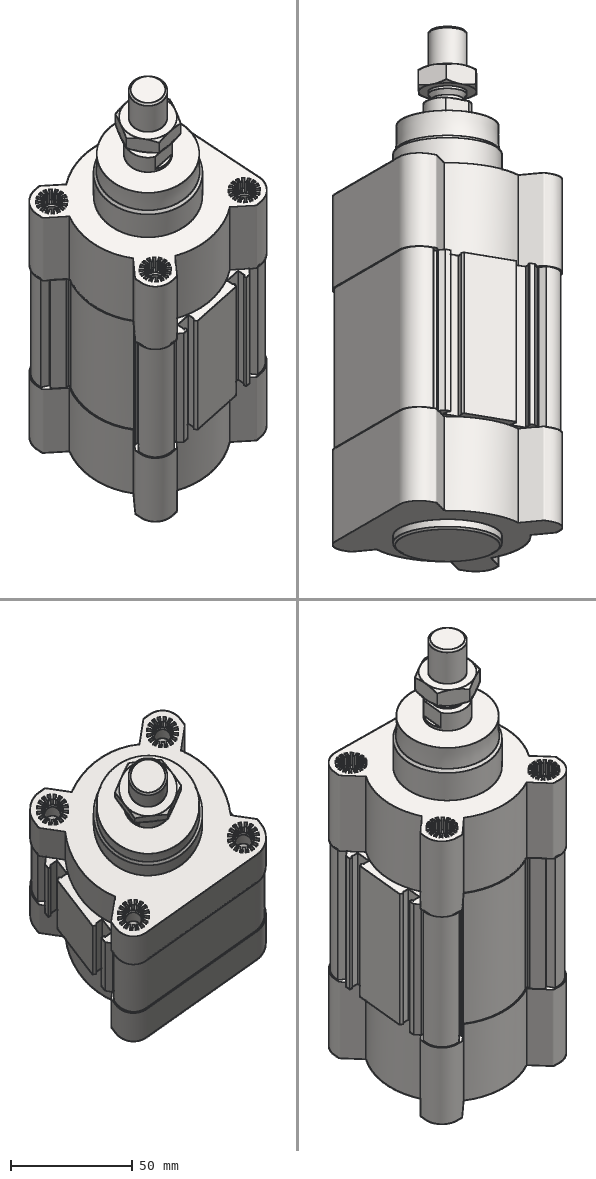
import cadquery as cq
import math

total_height = 223
rear_cap_z = 4.0
barrel_z = 44.8
front_cap_z = 114.7
front_boss_z = 155.0
collar_chamfer_z = 169.8
collar_chamfer_height = 1.3
front_boss_top_z = 182.0
rod_shoulder_z = 191.5
nut_z = 197.0
nut_height = 8.5

half_width = 37.5
body_radius = 34.4
lobe_tip = 25.2
tip_fillet = 1.1
lobe_radius = 9.1
barrel_setback = 0.5

flank_step = 18.5
arc_edge = 17.2
groove_near = 23.2
groove_far = 24.5
groove_edge = 26.8
groove_floor = 34.0
slot_floor = 32.5
pad_half_width = 13.0
rail_edge = 21.0
slot_lip = 0.7
slot_lip_depth = 1.3

boss_diameter = 45.0
collar_diameter = 42.8
collar_top_diameter = 42.5
collar_waist = 0.33
rear_boss_chamfer = 1.0

socket_offset = 28.22
tooth_count = 16
socket_diameter = 13.2
tooth_tip_diameter = 8.7
socket_depth = 6.7
bore_rim_diameter = 8.0
bore_diameter = 6.7
bore_rim_depth = 0.7
bore_depth = 13.4
drill_point_angle = 118

rod_diameter = 20
flats_width = 17.0
flats_z = 183.4
thread_diameter = 16.0
thread_tip_diameter = 14.3
undercut_diameter = 13.2
flare_diameter = 14.3
flare_z = 192.0
tip_chamfer_height = 1.0
thread_end_z = 195.9
undercut_z = 193.7

nut_across_flats = 23.9
nut_chamfer_angle = 30

cut_clearance = 2.2
corner_signs = [(sx, sy) for sx in (-1, 1) for sy in (-1, 1)]


def prism(points, bottom, top):
    return cq.Workplane("XY").workplane(offset=bottom).polyline(points).close().extrude(top - bottom)


def cylinder(diameter, bottom, top, x=0, y=0):
    return cq.Workplane("XY").workplane(offset=bottom).center(x, y).circle(diameter / 2).extrude(top - bottom)


def corner_lobe(sx, sy, reach, bottom, top):
    """Corner post with a round outer corner and two 45 degree flanks."""
    inner = (reach - lobe_tip) / 2
    outline = [(inner, -inner), (reach, lobe_tip), (reach, reach), (lobe_tip, reach), (-inner, inner)]
    lobe = prism([(sx * x, sy * y) for x, y in outline], bottom, top)
    middle = (bottom + top) / 2
    for x, y, radius in [
        (reach, reach, lobe_radius), (reach, lobe_tip, tip_fillet), (lobe_tip, reach, tip_fillet),
    ]:
        upright_edge = cq.selectors.NearestToPointSelector((sx * x, sy * y, middle))
        lobe = lobe.edges("|Z").edges(upright_edge).fillet(radius)
    return lobe


def profile_block(setback, bottom, top):
    """Round body with four corner lobes and a flat +Y side."""
    reach = half_width - setback
    block = cylinder(2 * (body_radius - setback), bottom, top)
    for sx, sy in corner_signs:
        block = block.union(corner_lobe(sx, sy, reach, bottom, top))
    side = reach - lobe_radius
    flat_side = [(-side, 0), (side, 0), (side, reach), (-side, reach)]
    return block.union(prism(flat_side, bottom, top))


def lobe_groove(place):
    """Groove cut between a lobe and its flank; place maps (sideways, outward) to (x, y)."""
    outside = half_width + cut_clearance
    edge_slope = (groove_edge - groove_far) / (half_width - groove_floor)
    outer_edge = groove_far + edge_slope * (outside - groove_floor)
    outline = [
        (groove_near, groove_floor), (groove_far, groove_floor),
        (outer_edge, outside), (groove_near, outside),
    ]
    return prism([place(*p) for p in outline], barrel_z, front_cap_z)


def flank_notch(place):
    """Small flat step where a -Y lobe flank meets the round body."""
    flank_shift = half_width - barrel_setback - lobe_tip
    step_height = arc_edge + flank_shift
    flank_height = flank_step + flank_shift
    outline = [(arc_edge, step_height), (flank_step, step_height), (flank_step, flank_height)]
    return prism([place(*p) for p in outline], barrel_z, front_cap_z)


def side_rails(side):
    """Flat slot floor with a centre pad and two narrow rails that leave lipped sensor slots between them."""
    inner = slot_floor - slot_lip_depth
    lip_start = half_width - slot_lip_depth
    lip_back = lip_start - slot_lip
    pad_lip = pad_half_width - slot_lip
    pad = [
        (inner, -pad_lip), (lip_back, -pad_lip), (lip_start, -pad_half_width), (half_width, -pad_lip),
        (half_width, pad_lip), (lip_start, pad_half_width), (lip_back, pad_lip), (inner, pad_lip),
    ]
    core_x = side * slot_floor
    core = [(0, -groove_near), (core_x, -groove_near), (core_x, groove_near), (0, groove_near)]
    rails = prism(core, barrel_z, front_cap_z)
    rails = rails.union(prism([(side * x, y) for x, y in pad], barrel_z, front_cap_z))
    groove_lip = half_width - (groove_near - rail_edge)
    rail = [
        (inner, flank_step + slot_lip), (lip_start, flank_step + slot_lip), (lip_start, flank_step),
        (half_width, flank_step), (half_width, rail_edge), (groove_lip, groove_near), (inner, groove_near),
    ]
    for sy in (-1, 1):
        rails = rails.union(prism([(side * x, sy * y) for x, y in rail], barrel_z, front_cap_z))
    return rails


def make_barrel():
    barrel = profile_block(barrel_setback, barrel_z, front_cap_z)
    for sx, sy in corner_signs:
        barrel = barrel.cut(lobe_groove(lambda across, out: (sx * out, sy * across)))
    for sx in (-1, 1):
        barrel = barrel.cut(lobe_groove(lambda across, out: (sx * across, -out)))
        barrel = barrel.cut(flank_notch(lambda across, out: (sx * across, -out)))
        floor_x = sx * slot_floor
        outside_x = sx * (half_width + cut_clearance)
        side_recess = [
            (floor_x, -groove_near), (outside_x, -groove_near), (outside_x, groove_near), (floor_x, groove_near),
        ]
        barrel = barrel.cut(prism(side_recess, barrel_z, front_cap_z)).union(side_rails(sx))
    return barrel


def front_boss():
    boss_radius = boss_diameter / 2
    collar_radius = collar_diameter / 2
    collar_top_radius = collar_top_diameter / 2
    collar_z = collar_chamfer_z + collar_chamfer_height
    waist = (collar_radius - collar_waist, (collar_z + front_boss_top_z) / 2)
    return (
        cq.Workplane("XZ")
        .moveTo(0, front_boss_z)
        .lineTo(boss_radius, front_boss_z)
        .lineTo(boss_radius, collar_chamfer_z)
        .lineTo(collar_radius, collar_z)
        .threePointArc(waist, (collar_top_radius, front_boss_top_z))
        .lineTo(0, front_boss_top_z)
        .close().revolve(360, (0, 0, 0), (0, 1, 0))
    )


def splined_socket(x, y):
    """Toothed socket with a drilled bore below it."""
    floor_z = front_boss_z - socket_depth
    slot_half_angle = math.radians(360 / tooth_count / 4)
    bore_radius = bore_diameter / 2
    bore_end_z = floor_z - bore_depth
    point_height = bore_radius / math.tan(math.radians(drill_point_angle / 2))
    socket = (
        cq.Workplane("XZ")
        .polyline([
            (0, front_boss_z), (tooth_tip_diameter / 2, front_boss_z), (tooth_tip_diameter / 2, floor_z),
            (bore_rim_diameter / 2, floor_z), (bore_radius, floor_z - bore_rim_depth),
            (bore_radius, bore_end_z), (0, bore_end_z - point_height),
        ])
        .close().revolve(360, (0, 0, 0), (0, 1, 0))
    )
    slot_length = socket_diameter / 2 * math.cos(slot_half_angle)
    slot_half_width = slot_length * math.tan(slot_half_angle)
    slot_outline = [(0, 0), (slot_length, -slot_half_width), (slot_length, slot_half_width)]
    slot = prism(slot_outline, floor_z, front_boss_z)
    for i in range(tooth_count):
        socket = socket.union(slot.rotate((0, 0, 0), (0, 0, 1), i * 360 / tooth_count))
    return socket.translate((x, y, 0))


def make_housing():
    rear_boss = cylinder(boss_diameter, 0, rear_cap_z).faces("<Z").chamfer(rear_boss_chamfer)
    body = profile_block(0, rear_cap_z, barrel_z).union(rear_boss)
    body = body.union(make_barrel())
    body = body.union(profile_block(0, front_cap_z, front_boss_z)).union(front_boss())
    for sx, sy in corner_signs:
        body = body.cut(splined_socket(sx * socket_offset, sy * socket_offset))
    return body.cut(cylinder(rod_diameter, front_boss_z, front_boss_top_z))


def make_rod():
    rod_radius = rod_diameter / 2
    rod = (
        cq.Workplane("XZ")
        .polyline([
            (0, front_boss_z), (rod_radius, front_boss_z),
            (rod_radius, rod_shoulder_z), (flare_diameter / 2, rod_shoulder_z), (flare_diameter / 2, flare_z),
            (undercut_diameter / 2, undercut_z),
            (thread_diameter / 2, thread_end_z), (thread_diameter / 2, total_height - tip_chamfer_height),
            (thread_tip_diameter / 2, total_height), (0, total_height),
        ])
        .close().revolve(360, (0, 0, 0), (0, 1, 0))
    )
    flats_height = rod_shoulder_z - flats_z
    outside = cq.Workplane("XY").workplane(offset=flats_z).rect(2 * rod_diameter, 2 * rod_diameter)
    wrench_flats = outside.rect(flats_width, 2 * rod_diameter).extrude(flats_height)
    return rod.cut(wrench_flats)


def make_nut():
    across_corners = nut_across_flats / math.cos(math.pi / 6)
    nut = cq.Workplane("XY").workplane(offset=nut_z).polygon(6, across_corners).extrude(nut_height)
    nut = nut.rotate((0, 0, 0), (0, 0, 1), 30)
    face_radius = nut_across_flats / 2
    corner_radius = across_corners / 2
    corner_drop = (corner_radius - face_radius) * math.tan(math.radians(nut_chamfer_angle))
    nut_top_z = nut_z + nut_height
    corner_envelope = (
        cq.Workplane("XZ")
        .polyline([
            (0, nut_z), (face_radius, nut_z), (corner_radius, nut_z + corner_drop),
            (corner_radius, nut_top_z - corner_drop), (face_radius, nut_top_z), (0, nut_top_z),
        ])
        .close().revolve(360, (0, 0, 0), (0, 1, 0))
    )
    return nut.intersect(corner_envelope).cut(cylinder(thread_diameter, nut_z, nut_top_z))


housing = make_housing()
rod = make_rod()
nut = make_nut()

result = cq.Compound.makeCompound([housing.val(), rod.val(), nut.val()])